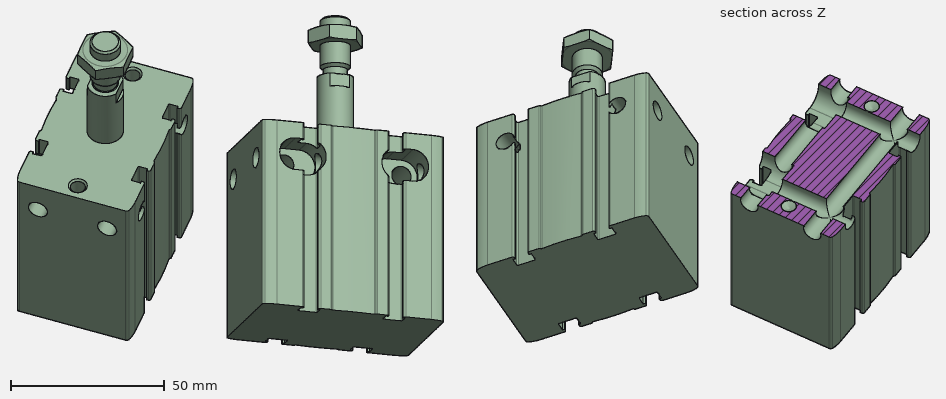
import cadquery as cq
import math

total_height = 106.0
body_width = 40.0
body_length = 62.0
body_height = 63.0
half_width = body_width / 2
half_length = body_length / 2

corner_arc_length = 4.6
corner_arc_inset = 0.6
corner_tip_setback = 0.69

relief_outer = 8.0
relief_inner = 7.1
relief_edge_depth = 0.48
relief_crest_depth = 0.16
slot_position = 14.5
slot_mouth_width = 5.0
slot_width = 6.6
slot_lip = 1.3
slot_depth = 4.5
slot_mouth_radius = 0.6
slot_floor_radius = 0.4

cross_hole_diameter = 6.6
cross_hole_height = 52.0
side_hole_position = 20.0
end_hole_position = 12.0
pocket_width = 10.8
pocket_inner_position = 14.9
pocket_depth = 12.0
top_hole_position = 26.0
top_hole_diameter = 4.9
top_hole_mouth_diameter = 6.1
top_hole_depth = 10.0
drill_point_angle = 118.0

rod_diameter = 12.0
stud_diameter = 10.0
neck_diameter = 8.0
shoulder_height = 86.0
neck_top_height = 88.7
neck_base_diameter = 8.6
neck_base_height = 0.2
stud_tip_diameter = 8.6
flat_spacing = 10.0
flat_height = 4.5

nut_across_flats = 16.0
nut_bottom = 97.0
nut_thickness = 5.0
nut_top_chamfer_diameter = 14.5
nut_bottom_chamfer_diameter = 16.6
nut_chamfer_angle = 15.0


def slot_cutter():
    """T-slot along Z in the +X side, with rounded mouth edges and floor corners."""
    half_mouth = slot_mouth_width / 2
    half_slot = slot_width / 2
    lip_x = half_width - slot_lip
    floor_x = half_width - slot_depth
    return (
        cq.Workplane("XY")
        .moveTo(half_width, 0)
        .lineTo(half_width, half_mouth + slot_mouth_radius)
        .radiusArc((half_width - slot_mouth_radius, half_mouth), slot_mouth_radius)
        .lineTo(lip_x, half_mouth)
        .lineTo(lip_x, half_slot)
        .lineTo(floor_x + slot_floor_radius, half_slot)
        .tangentArcPoint((floor_x, half_slot - slot_floor_radius), relative=False)
        .lineTo(floor_x, 0)
        .mirrorX()
        .extrude(body_height)
    )


def relief_cutter():
    """Shallow relief along Z in the +X side, with S-shaped steps and a slightly bulged floor."""
    foot_x = half_width - relief_edge_depth
    crest_x = half_width - relief_crest_depth
    middle_x = half_width - relief_edge_depth / 2
    middle_y = (relief_outer + relief_inner) / 2
    step_run = relief_outer - relief_inner
    step_radius = (step_run ** 2 + relief_edge_depth ** 2) / (4 * relief_edge_depth)
    return (
        cq.Workplane("XY")
        .moveTo(half_width, relief_outer)
        .radiusArc((middle_x, middle_y), step_radius)
        .radiusArc((foot_x, relief_inner), -step_radius)
        .threePointArc((crest_x, 0), (foot_x, -relief_inner))
        .radiusArc((middle_x, -middle_y), -step_radius)
        .radiusArc((half_width, -relief_outer), step_radius)
        .close()
        .extrude(body_height)
    )


def body_block():
    """Block whose corners are a shallow arc and a tighter one, tangent to each other and the faces."""
    arc_start_y = half_length - corner_arc_length
    tip_x = half_width - corner_arc_inset
    tip_y = half_length - corner_tip_setback
    tip_angle = 2 * math.atan(corner_arc_inset / (tip_y - arc_start_y))
    end_x = tip_x - corner_tip_setback / math.tan((math.pi / 2 - tip_angle) / 2)
    return (
        cq.Workplane("XY")
        .moveTo(half_width, 0)
        .lineTo(half_width, arc_start_y)
        .tangentArcPoint((tip_x, tip_y), relative=False)
        .tangentArcPoint((end_x, half_length), relative=False)
        .lineTo(-end_x, half_length)
        .tangentArcPoint((-tip_x, tip_y), relative=False)
        .tangentArcPoint((-half_width, arc_start_y), relative=False)
        .lineTo(-half_width, 0)
        .mirrorX()
        .extrude(body_height)
    )


def top_hole_cutter(y_center):
    """Drilled hole from the top face with a countersunk mouth and a conical end."""
    radius = top_hole_diameter / 2
    mouth_radius = top_hole_mouth_diameter / 2
    countersink_depth = mouth_radius - radius
    point_depth = radius / math.tan(math.radians(drill_point_angle / 2))
    return (
        cq.Workplane("XZ")
        .polyline([
            (0, 0),
            (mouth_radius, 0),
            (radius, -countersink_depth),
            (radius, -top_hole_depth),
            (0, -top_hole_depth - point_depth),
        ])
        .close()
        .revolve(360, (0, 0), (0, 1))
        .translate((0, y_center, body_height))
    )


def side_hole_cutter(end):
    """Hole through the housing along X, with a long round-ended pocket on the -X side."""
    hole = (
        cq.Workplane("YZ")
        .center(end * side_hole_position, cross_hole_height)
        .circle(cross_hole_diameter / 2)
        .extrude(half_width, both=True)
    )
    pocket_center = (side_hole_position + pocket_inner_position) / 2
    pocket_length = side_hole_position - pocket_inner_position + pocket_width
    pocket = (
        cq.Workplane("YZ", origin=(-half_width, 0, 0))
        .center(end * pocket_center, cross_hole_height)
        .slot2D(pocket_length, pocket_width)
        .extrude(pocket_depth)
    )
    return hole.union(pocket)


def end_hole_cutter(side):
    """Hole through the housing along Y."""
    return (
        cq.Workplane("XZ")
        .center(side * end_hole_position, cross_hole_height)
        .circle(cross_hole_diameter / 2)
        .extrude(half_length, both=True)
    )


def make_housing():
    body = body_block()
    side_cutters = [relief_cutter()]
    for end in (-1, 1):
        side_cutters.append(slot_cutter().translate((0, end * slot_position, 0)))
    for cutter in side_cutters:
        body = body.cut(cutter).cut(cutter.mirror("YZ"))
    for side in (-1, 1):
        body = body.cut(end_hole_cutter(side))
    for end in (-1, 1):
        body = body.cut(side_hole_cutter(end))
        body = body.cut(top_hole_cutter(end * top_hole_position))
    return body


def make_rod():
    """Piston rod standing on the housing, with a necked stud end and two wrench flats."""
    rod_radius = rod_diameter / 2
    neck_radius = neck_diameter / 2
    stud_radius = stud_diameter / 2
    tip_radius = stud_tip_diameter / 2
    rod = (
        cq.Workplane("XZ")
        .polyline([
            (0, body_height),
            (rod_radius, body_height),
            (rod_radius, shoulder_height),
            (neck_base_diameter / 2, shoulder_height),
            (neck_radius, shoulder_height + neck_base_height),
            (neck_radius, neck_top_height),
            (stud_radius, neck_top_height + stud_radius - neck_radius),
            (stud_radius, total_height - (stud_radius - tip_radius)),
            (tip_radius, total_height),
            (0, total_height),
        ])
        .close()
        .revolve(360, (0, 0), (0, 1))
    )
    for side in (-1, 1):
        flat = (
            cq.Workplane("XY", origin=(0, 0, shoulder_height - flat_height))
            .center(side * (flat_spacing + rod_diameter) / 2, 0)
            .rect(rod_diameter, rod_diameter)
            .extrude(flat_height)
        )
        rod = rod.cut(flat)
    return rod


def make_nut():
    """Hexagon nut with both end faces chamfered at the corners and a plain bore for the stud."""
    corner_diameter = nut_across_flats / math.cos(math.radians(30))
    nut = (
        cq.Workplane("XY", origin=(0, 0, nut_bottom))
        .polygon(6, corner_diameter)
        .extrude(nut_thickness)
        .rotate((0, 0, 0), (0, 0, 1), 90)
    )
    corner_radius = corner_diameter / 2
    top_radius = nut_top_chamfer_diameter / 2
    bottom_radius = nut_bottom_chamfer_diameter / 2
    slope = math.tan(math.radians(nut_chamfer_angle))
    nut_top = nut_bottom + nut_thickness
    rounding = (
        cq.Workplane("XZ")
        .polyline([
            (0, nut_bottom),
            (bottom_radius, nut_bottom),
            (corner_radius, nut_bottom + slope * (corner_radius - bottom_radius)),
            (corner_radius, nut_top - slope * (corner_radius - top_radius)),
            (top_radius, nut_top),
            (0, nut_top),
        ])
        .close()
        .revolve(360, (0, 0), (0, 1))
    )
    bore = (
        cq.Workplane("XY", origin=(0, 0, nut_bottom))
        .circle(stud_diameter / 2)
        .extrude(nut_thickness)
    )
    return nut.intersect(rounding).cut(bore)


housing = make_housing()
rod = make_rod()
nut = make_nut()
result = cq.Compound.makeCompound([housing.val(), rod.val(), nut.val()])